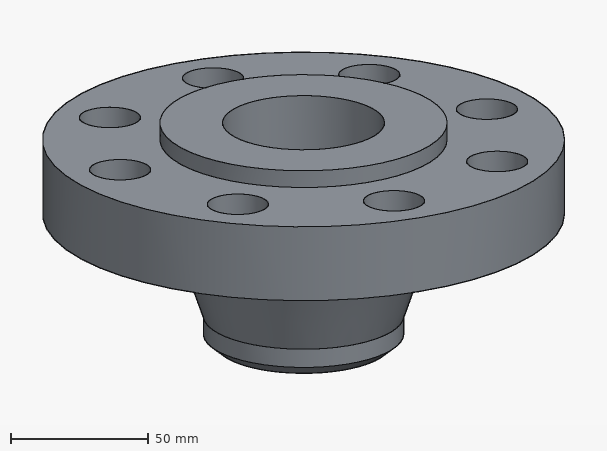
import cadquery as cq

flange_diameter = 190.5
flange_thickness = 28.5
face_diameter = 104.8
face_height = 6.5
total_height = 85.7

hub_diameter = 100.0
hub_fillet = 7.5
neck_diameter = 73.2
neck_height = 11.0
bevel_height = 4.0
bevel_width = 4.8

bore_diameter = 59.0
bolt_circle_diameter = 149.2
bolt_hole_diameter = 22.3
bolt_count = 8

flange_top = total_height - face_height
flange_bottom = flange_top - flange_thickness
neck_radius = neck_diameter / 2


def make_body():
    """Revolve the solid outer profile about Z, then round the hub root."""
    profile = (
        cq.Workplane("XZ")
        .moveTo(0, 0)
        .lineTo(neck_radius - bevel_width, 0)
        .lineTo(neck_radius, bevel_height)
        .lineTo(neck_radius, neck_height)
        .lineTo(hub_diameter / 2, flange_bottom)
        .lineTo(flange_diameter / 2, flange_bottom)
        .lineTo(flange_diameter / 2, flange_top)
        .lineTo(face_diameter / 2, flange_top)
        .lineTo(face_diameter / 2, total_height)
        .lineTo(0, total_height)
        .close()
    )
    body = profile.revolve(360, (0, 0, 0), (0, 1, 0))
    root_edge = cq.selectors.RadiusNthSelector(0)
    underside = body.faces("|Z").faces(">Z[-3]")
    return underside.edges(root_edge).fillet(hub_fillet)


def make_bolt_holes():
    """Ring of through holes, the first one on the X axis."""
    return (
        cq.Workplane("XY")
        .workplane(offset=flange_bottom)
        .polarArray(bolt_circle_diameter / 2, 0, 360, bolt_count)
        .circle(bolt_hole_diameter / 2)
        .extrude(flange_thickness)
    )


bore = cq.Workplane("XY").circle(bore_diameter / 2).extrude(total_height)
result = make_body().cut(bore).cut(make_bolt_holes())